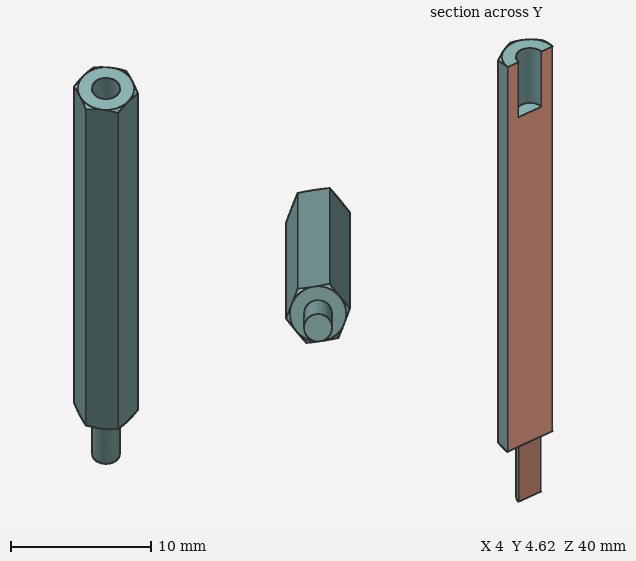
import cadquery as cq
import math

total_length = 40
stud_length = 5.0
across_flats = 4
stud_diameter = 2
crown_angle = 30

bore_diameter = stud_diameter
bore_depth = stud_length
top_z = total_length / 2
bottom_z = -total_length / 2
shoulder_z = bottom_z + stud_length
body_length = total_length - stud_length
across_corners = across_flats / math.cos(math.radians(30))
corner_radius = across_corners / 2
crown_radius = across_flats / 2
crown_height = (corner_radius - crown_radius) * math.tan(math.radians(crown_angle))


def make_crown_envelope():
    """Turned envelope that bevels the hexagon corners at both ends."""
    return (
        cq.Workplane("XZ")
        .moveTo(0, shoulder_z)
        .lineTo(crown_radius, shoulder_z)
        .lineTo(corner_radius, shoulder_z + crown_height)
        .lineTo(corner_radius, top_z - crown_height)
        .lineTo(crown_radius, top_z)
        .lineTo(0, top_z)
        .close()
        .revolve(360, (0, 0), (0, 1))
    )


def make_spacer():
    """Hexagonal spacer with bevelled corners and a blind bore in its top."""
    hexagon = (
        cq.Workplane("XY", origin=(0, 0, shoulder_z))
        .transformed(rotate=(0, 0, 90))
        .polygon(6, across_corners)
        .extrude(body_length)
    )
    bore = (
        cq.Workplane("XY", origin=(0, 0, top_z - bore_depth))
        .circle(bore_diameter / 2)
        .extrude(bore_depth)
    )
    return hexagon.intersect(make_crown_envelope()).cut(bore)


def make_stud():
    """Plain round stud that meets the bottom face of the spacer."""
    return (
        cq.Workplane("XY", origin=(0, 0, bottom_z))
        .circle(stud_diameter / 2)
        .extrude(stud_length)
    )


spacer = make_spacer()
stud = make_stud()

result = cq.Compound.makeCompound([spacer.val(), stud.val()])